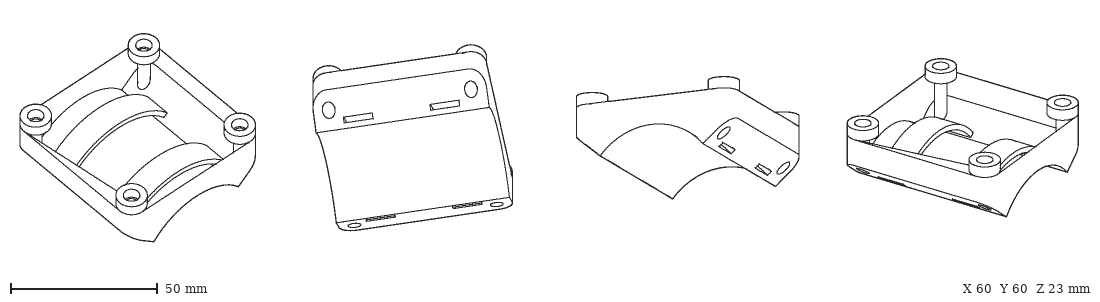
import cadquery as cq
import math

side = 60.0
total_height = 23.0
boss_diameter = 10.75
boss_height = 4.0
body_height = total_height - boss_height
boss_setback = 0.005
corner_radius = boss_diameter / 2 + boss_setback
boss_spacing = side - 2 * corner_radius

seat_diameter = 5.6
screw_diameter = 4.3

tube_radius = 25.0
flank_height = 9.0
crown_height = flank_height
tube_axis_z = crown_height - tube_radius
tip_y = math.sqrt(tube_radius**2 - tube_axis_z**2)

strap_inner_radius = 27.0
strap_outer_radius = 29.0
strap_width = 10.0
strap_spacing = 30.0


def make_body():
    """Saddle profile along X, with the vertical corners rounded."""
    profile = (
        cq.Workplane("YZ", origin=(-side / 2, 0, 0))
        .moveTo(-side / 2, body_height)
        .lineTo(-side / 2, flank_height)
        .lineTo(-tip_y, 0)
        .threePointArc((0, crown_height), (tip_y, 0))
        .lineTo(side / 2, flank_height)
        .lineTo(side / 2, body_height)
        .close()
        .extrude(side)
    )
    rounded_block = (
        cq.Workplane("XY")
        .rect(side, side)
        .extrude(body_height)
        .edges("|Z")
        .fillet(corner_radius)
    )
    return profile.intersect(rounded_block)


def corner_cylinders(diameter, bottom, top):
    """Four upright cylinders on the boss centres."""
    return (
        cq.Workplane("XY", origin=(0, 0, bottom))
        .rect(boss_spacing, boss_spacing, forConstruction=True)
        .vertices()
        .circle(diameter / 2)
        .extrude(top - bottom)
    )


def strap_ring(center_x):
    """Ring whose upper arc cuts a strap slot from flank to flank."""
    return (
        cq.Workplane("YZ", origin=(center_x - strap_width / 2, 0, tube_axis_z))
        .circle(strap_outer_radius)
        .circle(strap_inner_radius)
        .extrude(strap_width)
    )


result = make_body().union(corner_cylinders(boss_diameter, body_height, total_height))
result = result.cut(corner_cylinders(screw_diameter, 0, total_height))
result = result.cut(corner_cylinders(seat_diameter, body_height, total_height))
for center_x in (-strap_spacing / 2, strap_spacing / 2):
    result = result.cut(strap_ring(center_x))